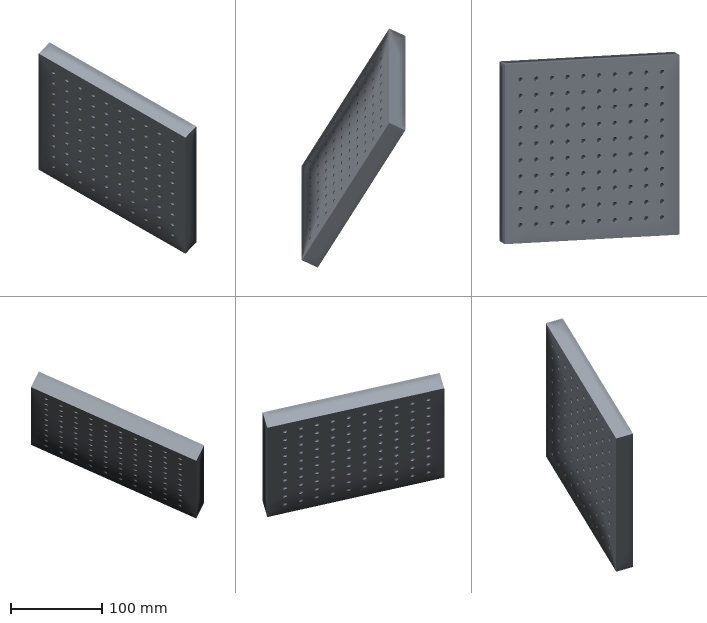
import cadquery as cq

plate_side = 200.0
plate_thickness = 20.0

hole_diameter = 5.0
hole_pitch = 18.0
holes_per_side = 10
first_hole_offset = 20.0


def make_plate():
    """Square plate with its lower -X, -Y corner at the origin."""
    return cq.Workplane("XY").box(plate_side, plate_thickness, plate_side, centered=False)


def hole_centers():
    """Grid points (x, z) of the hole axes."""
    offsets = [first_hole_offset + i * hole_pitch for i in range(holes_per_side)]
    return [(x, z) for x in offsets for z in offsets]


def make_hole_cutters():
    """Cylinders along Y spanning the full plate thickness."""
    return (
        cq.Workplane("XZ")
        .pushPoints(hole_centers())
        .circle(hole_diameter / 2)
        .extrude(-plate_thickness)
    )


result = make_plate().cut(make_hole_cutters())